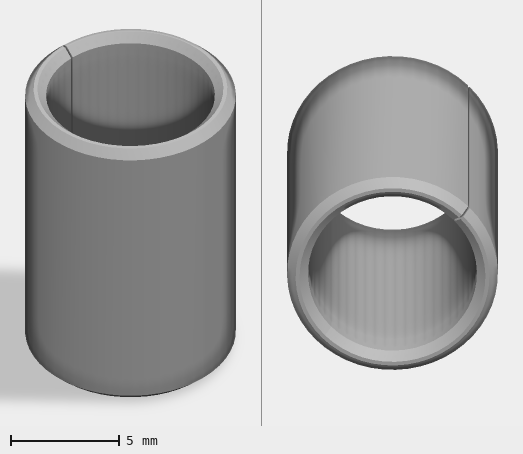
import cadquery as cq

length = 14.61
outer_diameter = 9.75
inner_diameter = 7.8
outer_chamfer = 0.4
inner_chamfer = 0.4
slit_width = 0.1

outer_radius = outer_diameter / 2
inner_radius = inner_diameter / 2
half_length = length / 2


def sleeve():
    """Revolve the wall section, with its chamfered ends, about Z."""
    rim_outer_radius = outer_radius - outer_chamfer
    rim_inner_radius = inner_radius + inner_chamfer
    outer_edge = half_length - outer_chamfer
    inner_edge = half_length - inner_chamfer
    section = [
        (inner_radius, -inner_edge),
        (rim_inner_radius, -half_length),
        (rim_outer_radius, -half_length),
        (outer_radius, -outer_edge),
        (outer_radius, outer_edge),
        (rim_outer_radius, half_length),
        (rim_inner_radius, half_length),
        (inner_radius, inner_edge),
    ]
    return cq.Workplane("XZ").polyline(section).close().revolve(360, (0, 0, 0), (0, 1, 0))


def slit():
    """Full-length cutter that opens the wall on the -X side only."""
    return cq.Workplane("XY").box(outer_diameter, slit_width, length).translate((-outer_radius, 0, 0))


result = sleeve().cut(slit())